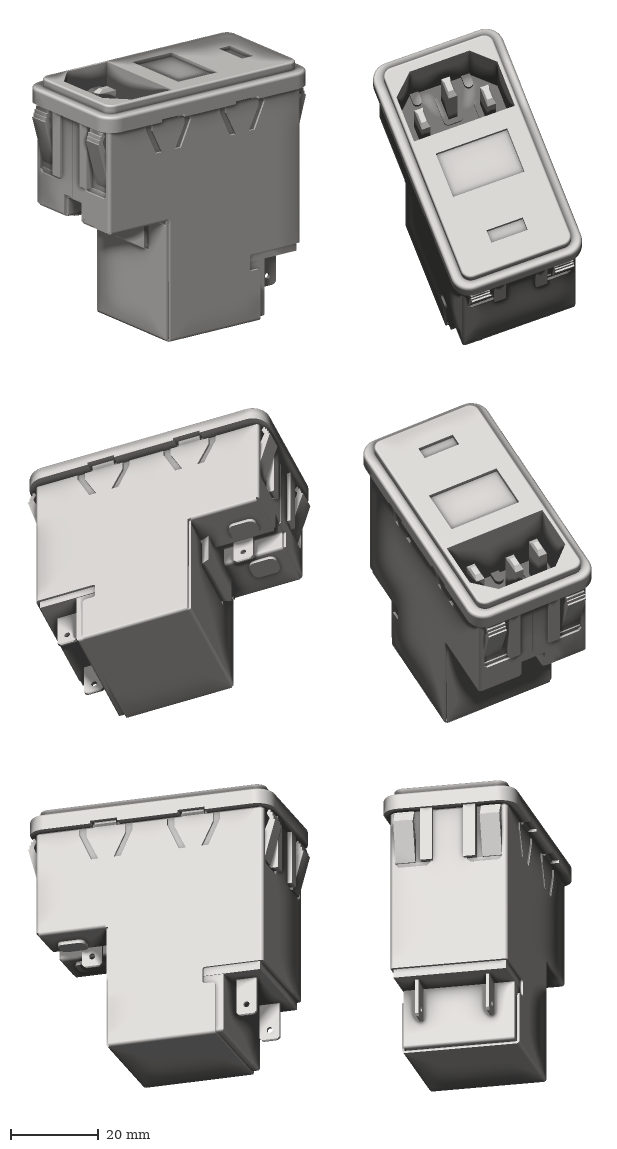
import cadquery as cq


TOP_Z = 60.3
FLANGE_X, FLANGE_Y = 31.45, 58.7
FLANGE_BOTTOM, FLANGE_TOP = 54.5, 58.3
FLANGE_CORNER_R, FLANGE_EDGE_R = 4.2, 0.7
PANEL_X, PANEL_Y = 26.65, 54.3
PANEL_CORNER_R, PANEL_EDGE_R = 2.3, 0.5

SHEET = 0.55
BEND_R = 0.7
SHIELD_HALF_X = 13.8
FRONT_Y, BACK_Y = -27.5, 27.3
SHIELD_TOP = 54.05
STEP_Z = 29.3
STEP_Y = -10.65
BACK_PLATE_BOTTOM = 16.5
SIDE_BACK_Y = 15.8
RELIEF_Y, RELIEF_BOTTOM = 12.7, 12.55
RELIEF_R, RELIEF_FOOT_R = 0.55, 0.9
SEAM = 0.25
CORNER_GAP = 0.65

NOTCH_HALF_X, NOTCH_TOP, NOTCH_TOP_R = 2.6, 34.05, 0.5

OPENING_HALF_X, OPENING_BOTTOM = 12.9, 28.0
BLOCK_WINDOW_HALF_X, BLOCK_WINDOW_BOTTOM = 6.4, 20.4

TONGUE_PITCH = 21.1
SLOT_OUTER, SLOT_INNER = 6.4, 4.65
SLOT_FOOT_OUTER, SLOT_FOOT_INNER = 3.55, 1.85
SLOT_BEND_OUTER, SLOT_BEND_INNER, SLOT_BOTTOM = 52.6, 52.1, 46.45
LIP_HALF_Y, LIP_OUT = 2.6, 0.5
LIP_BOTTOM, LIP_KNEE, LIP_TOP = 54.25, 54.7, 55.15
FLANGE_NOTCH_HALF_Y = 3.25

WINDOW_INNER_X, WINDOW_OUTER_X = 4.35, 12.5
WINDOW_LEDGE, WINDOW_CHAMFER = 1.1, 0.7
RIB_INNER_X, RIB_OUTER_X = 3.7, 6.45
RIB_Y = 28.4
FRONT_RIB_BOTTOM, BACK_RIB_BOTTOM = 38.75, 41.95
POCKET_DEPTH = 0.9
CLIP_INNER_X = 7.9
CLIP_TIP_Y, CLIP_TIP_Z = 29.8, 51.35
CLIP_FOOT_Z = 40.0
GRIP_INNER_Y, GRIP_STEPS_Y = 28.15, (28.55, 29.05, 29.35)
GRIP_TOP, GRIP_STEPS_Z = 53.8, (53.1, 52.25, CLIP_TIP_Z)
CLIP_HEEL_Y, CLIP_HEEL_Z = 27.7, 53.05
CLIP_BACK_Y, CLIP_BACK_Z = 28.4, 51.65
CLIP_ROOT_Z = 46.95
CLIP_SLOPE = 0.28

HOUSING_LIP_Y, HOUSING_LIP_BOTTOM = 26.4, 14.5
FOOT_HALF_X, FOOT_BACK_Y, FOOT_EDGE_R = 13.1, 17.5, 0.6
BLOCK_FRONT_Y, BLOCK_FRONT_HALF_X = -12.55, 7.1
BLOCK_BOTTOM = 21.5
PAD_X, PAD_Y, PAD_R, PAD_BOTTOM = 4.65, 6.55, 1.45, 28.45
PAD_CENTRE_X, PAD_CENTRE_Y = 6.4, -21.0

LABEL_X, LABEL_Y, LABEL_CENTRE_Y, LABEL_DEPTH = 8.85, 3.2, 19.15, 1.0
SWITCH_X, SWITCH_Y, SWITCH_CENTRE_Y, SWITCH_DEPTH = 17.4, 11.2, 1.7, 1.0
INLET_HALF_X, INLET_FOOT_HALF_X = 12.3, 7.3
INLET_BACK_Y, INLET_CORNER_Y, INLET_FRONT_Y = -8.45, -19.8, -24.6
INLET_FLOOR = 44.0
KEY_WIDTH, KEY_LENGTH, KEY_HEIGHT, FRONT_KEY_X = 2.1, 3.15, 0.95, 6.25
SEAT_X, SEAT_Y, SEAT_R, SEAT_HEIGHT = 4.7, 7.5, 1.15, 0.5

PIN_X, PIN_Y = 2.1, 4.95
PIN_TIP_X, PIN_TIP_Y, PIN_TAPER = 1.3, 2.3, 0.8
LINE_PIN_X, LINE_PIN_Y, LINE_PIN_TOP = 8.0, -14.45, 56.4
EARTH_Y, EARTH_PIN_TOP = -18.4, 59.4
TERMINAL_X, TERMINAL_Y, TERMINAL_CHAMFER, TERMINAL_EDGE = 0.8, 4.8, 0.7, 0.25
TERMINAL_HOLE, TERMINAL_HOLE_UP = 1.4, 2.55
EARTH_TERMINAL_BOTTOM = 25.7
OUTPUT_TERMINAL_BOTTOM, OUTPUT_TERMINAL_X, OUTPUT_TERMINAL_Y = 5.65, 8.3, 21.6

CUT_MARGIN = 0.6

CORE_HALF_X = SHIELD_HALF_X - SHEET
CORE_FRONT_Y = FRONT_Y + SHEET
CORE_BACK_Y = BACK_Y - SHEET
CORE_STEP_Y = STEP_Y + SHEET
CORE_STEP_Z = STEP_Z + SHEET
RIM_HALF_X = NOTCH_HALF_X + BEND_R
TONGUES_Y = (-TONGUE_PITCH / 2, TONGUE_PITCH / 2)
SIDES = (-1, 1)
FACES = ((-1, -FRONT_Y, FRONT_RIB_BOTTOM), (1, BACK_Y, BACK_RIB_BOTTOM))


def block(x, y, z):
    """Box between two limits on each axis; each pair may be in either order."""
    spans = [sorted(pair) for pair in (x, y, z)]
    size = [high - low for low, high in spans]
    return cq.Workplane("XY").box(*size, centered=False).translate(tuple(low for low, high in spans))


def side_profile(points, half_width):
    """Outline of (y, z) points extruded symmetrically about X = 0."""
    return cq.Workplane("YZ").polyline(points).close().extrude(half_width, both=True)


def rounded_block(size_x, size_y, radius, bottom, top, centre=(0, 0)):
    body = cq.Workplane("XY", origin=(*centre, bottom)).rect(size_x, size_y).extrude(top - bottom)
    return body.edges("|Z").fillet(radius)


def notch_opening():
    """Space of the front notch: rounded at the top, flared where it meets the underside."""
    depth = (FRONT_Y, STEP_Y)
    opening = block((-NOTCH_HALF_X, NOTCH_HALF_X), depth, (STEP_Z - SHEET, NOTCH_TOP))
    opening = opening.edges("|Y and >Z").fillet(NOTCH_TOP_R)
    opening = opening.union(block((-RIM_HALF_X - SHEET, RIM_HALF_X + SHEET), depth, (STEP_Z - SHEET, STEP_Z)))
    low, high = (-RIM_HALF_X, FRONT_Y, STEP_Z - SHEET / 2), (RIM_HALF_X, STEP_Y, CORE_STEP_Z)
    mouth = cq.selectors.BoxSelector(low, high)
    return opening.edges("|Y").edges(mouth).fillet(BEND_R)


def notch_clearance():
    """Notch grown by the sheet thickness, where the housing makes way for the folded lining."""
    half_x = NOTCH_HALF_X + SHEET
    return block((-half_x, half_x), (FRONT_Y, STEP_Y), (STEP_Z, NOTCH_TOP + SHEET))


def terminal(x, y, bottom, top):
    """Flat blade with a pierced, chamfered lower end."""
    blade = cq.Workplane("XY", origin=(x, y, bottom)).rect(TERMINAL_X, TERMINAL_Y).extrude(top - bottom)
    blade = blade.edges("|X and <Z").chamfer(TERMINAL_CHAMFER)
    blade = blade.faces("<Z").edges().chamfer(TERMINAL_EDGE)
    hole_plane = cq.Workplane("YZ", origin=(x, y, bottom + TERMINAL_HOLE_UP))
    return blade.cut(hole_plane.circle(TERMINAL_HOLE / 2).extrude(TERMINAL_X, both=True))


def earth_terminal():
    return terminal(0, EARTH_Y, EARTH_TERMINAL_BOTTOM, INLET_FLOOR)


def contact_pads():
    """Two low rounded pads that pass through the underside of the shield."""
    pads = cq.Workplane("XY")
    for side in SIDES:
        centre = (side * PAD_CENTRE_X, PAD_CENTRE_Y)
        pads = pads.union(rounded_block(PAD_X, PAD_Y, PAD_R, PAD_BOTTOM, CORE_STEP_Z, centre))
    return pads


def shield_envelope():
    """Outside of the shield before the sheet is hollowed out."""
    x_span = (-SHIELD_HALF_X, SHIELD_HALF_X)
    upper = block(x_span, (FRONT_Y, BACK_Y), (STEP_Z, SHIELD_TOP))
    upper = upper.edges("|Z").fillet(BEND_R).edges("|Y and <Z").fillet(BEND_R)
    upper = upper.cut(notch_opening())
    lower = block(x_span, (STEP_Y, BACK_Y), (0, SHIELD_TOP))
    lower = lower.edges("|Z and >Y").fillet(BEND_R).edges("<Z").fillet(BEND_R)
    return upper.union(lower)


def corner_reliefs():
    """Open corners where the edges of two folded sheets face each other."""
    front = (FRONT_Y, FRONT_Y + CORNER_GAP)
    reliefs = block((-SHIELD_HALF_X, SHIELD_HALF_X), front, (STEP_Z, STEP_Z + BEND_R))
    reliefs = reliefs.union(block((-RIM_HALF_X, RIM_HALF_X), front, (STEP_Z, NOTCH_TOP + BEND_R)))
    for side in SIDES:
        corner_x = (side * (SHIELD_HALF_X - CORNER_GAP), side * SHIELD_HALF_X)
        reliefs = reliefs.union(block(corner_x, (STEP_Y, STEP_Y + CORNER_GAP), (0, STEP_Z)))
    return reliefs


def shield_cavity():
    top, rear = SHIELD_TOP + CUT_MARGIN, CORE_BACK_Y
    outline = [(CORE_FRONT_Y, top), (CORE_FRONT_Y, CORE_STEP_Z), (CORE_STEP_Y, CORE_STEP_Z),
               (CORE_STEP_Y, SHEET), (rear, SHEET), (rear, top)]
    return side_profile(outline, CORE_HALF_X).cut(notch_clearance())


def rear_relief():
    """Removes the sheet below the back plate and behind the lower side plates."""
    outside = BACK_Y + CUT_MARGIN
    outline = [(SIDE_BACK_Y, -CUT_MARGIN), (SIDE_BACK_Y, RELIEF_BOTTOM), (RELIEF_Y, RELIEF_BOTTOM),
               (RELIEF_Y, BACK_PLATE_BOTTOM), (outside, BACK_PLATE_BOTTOM), (outside, -CUT_MARGIN)]
    relief = side_profile(outline, SHIELD_HALF_X + CUT_MARGIN)
    relief = relief.edges("|X").edges("<Y").fillet(RELIEF_R)
    foot = cq.selectors.NearestToPointSelector((0, SIDE_BACK_Y, RELIEF_BOTTOM))
    return relief.edges("|X").edges(foot).fillet(RELIEF_FOOT_R)


def side_slots():
    """Two slanted slots per tongue, through both side plates."""
    slots = cq.Workplane("XY")
    outline = [(SLOT_OUTER, SHIELD_TOP), (SLOT_OUTER, SLOT_BEND_OUTER), (SLOT_FOOT_OUTER, SLOT_BOTTOM),
               (SLOT_FOOT_INNER, SLOT_BOTTOM), (SLOT_INNER, SLOT_BEND_INNER), (SLOT_INNER, SHIELD_TOP)]
    for tongue_y in TONGUES_Y:
        for side in SIDES:
            points = [(tongue_y + side * y, z) for y, z in outline]
            slots = slots.union(side_profile(points, SHIELD_HALF_X + CUT_MARGIN))
    return slots


def tongue_lips():
    """Outward lips on top of the spring tongues."""
    lips = cq.Workplane("XY")
    inner, face, outer = CORE_HALF_X, SHIELD_HALF_X, SHIELD_HALF_X + LIP_OUT
    outline = [(inner, SLOT_BEND_INNER), (face, SLOT_BEND_INNER), (face, LIP_BOTTOM), (outer, LIP_KNEE),
               (outer, LIP_TOP), (inner, LIP_TOP)]
    for tongue_y in TONGUES_Y:
        for side in SIDES:
            points = [(side * x, z) for x, z in outline]
            plane = cq.Workplane("XZ", origin=(0, tongue_y, 0))
            lips = lips.union(plane.polyline(points).close().extrude(LIP_HALF_Y, both=True))
    return lips


def clip_windows():
    """Windows, open at the top, around each clip and rib root."""
    windows = cq.Workplane("XY")
    for face, face_y, rib_bottom in FACES:
        for side in SIDES:
            window = block((side * WINDOW_INNER_X, side * WINDOW_OUTER_X),
                           (face * (face_y - SHEET), face * (face_y + CUT_MARGIN)),
                           (rib_bottom - WINDOW_LEDGE, SHIELD_TOP + CUT_MARGIN))
            windows = windows.union(window.edges("|Y and <Z").chamfer(WINDOW_CHAMFER))
    return windows


def lower_front_openings():
    """Gap under the step and window behind the block."""
    depth = (STEP_Y - CUT_MARGIN, CORE_STEP_Y)
    openings = block((-OPENING_HALF_X, OPENING_HALF_X), depth, (OPENING_BOTTOM, STEP_Z))
    window_x = (-BLOCK_WINDOW_HALF_X, BLOCK_WINDOW_HALF_X)
    return openings.union(block(window_x, depth, (BLOCK_WINDOW_BOTTOM, STEP_Z)))


def make_shield():
    shield = shield_envelope().cut(shield_cavity()).cut(rear_relief()).cut(corner_reliefs())
    shield = shield.cut(side_slots()).union(tongue_lips())
    shield = shield.cut(clip_windows()).cut(lower_front_openings())
    seam = block((-SEAM / 2, SEAM / 2), (FRONT_Y, CORE_FRONT_Y), (NOTCH_TOP, SHIELD_TOP))
    return shield.cut(seam).cut(contact_pads()).cut(earth_terminal())


def faceplate():
    flange = rounded_block(FLANGE_X, FLANGE_Y, FLANGE_CORNER_R, FLANGE_BOTTOM, FLANGE_TOP)
    flange = flange.faces(">Z").edges().fillet(FLANGE_EDGE_R)
    for tongue_y in TONGUES_Y:
        for side in SIDES:
            notch_y = (tongue_y - FLANGE_NOTCH_HALF_Y, tongue_y + FLANGE_NOTCH_HALF_Y)
            notch_x = (side * CORE_HALF_X, side * FLANGE_X)
            flange = flange.cut(block(notch_x, notch_y, (FLANGE_BOTTOM, LIP_TOP)))
    panel = rounded_block(PANEL_X, PANEL_Y, PANEL_CORNER_R, FLANGE_TOP, TOP_Z)
    return flange.union(panel.faces(">Z").edges().fillet(PANEL_EDGE_R))


def housing_core():
    """Body that fills the upper shield, with a lip exposed below the back plate."""
    outline = [(CORE_FRONT_Y, FLANGE_BOTTOM), (CORE_FRONT_Y, CORE_STEP_Z), (CORE_STEP_Y, CORE_STEP_Z),
               (CORE_STEP_Y, HOUSING_LIP_BOTTOM), (HOUSING_LIP_Y, HOUSING_LIP_BOTTOM),
               (HOUSING_LIP_Y, BACK_PLATE_BOTTOM), (CORE_BACK_Y, BACK_PLATE_BOTTOM),
               (CORE_BACK_Y, FLANGE_BOTTOM)]
    return side_profile(outline, CORE_HALF_X).cut(notch_clearance())


def housing_foot():
    """Slightly narrower lower part that shows behind the side plates."""
    foot = block((-FOOT_HALF_X, FOOT_HALF_X), (CORE_STEP_Y, FOOT_BACK_Y), (SHEET, HOUSING_LIP_BOTTOM))
    return foot.edges("<Z").edges("|Y or >Y").fillet(FOOT_EDGE_R)


def front_block():
    """Undercut block that stands out through the lower front window and closes the notch."""
    outline = [(-BLOCK_WINDOW_HALF_X, CORE_STEP_Y), (BLOCK_WINDOW_HALF_X, CORE_STEP_Y),
               (BLOCK_WINDOW_HALF_X, STEP_Y), (BLOCK_FRONT_HALF_X, BLOCK_FRONT_Y),
               (-BLOCK_FRONT_HALF_X, BLOCK_FRONT_Y), (-BLOCK_WINDOW_HALF_X, STEP_Y)]
    plane = cq.Workplane("XY", origin=(0, 0, BLOCK_BOTTOM))
    body = plane.polyline(outline).close().extrude(STEP_Z - BLOCK_BOTTOM)
    rim_x = (-RIM_HALF_X, RIM_HALF_X)
    notch_end = notch_opening().intersect(block(rim_x, (BLOCK_FRONT_Y, STEP_Y), (STEP_Z, NOTCH_TOP)))
    return body.union(notch_end)


def clip_pocket(face, face_y, rib_bottom, side):
    return block((side * RIB_OUTER_X, side * WINDOW_OUTER_X),
                 (face * (face_y - POCKET_DEPTH), face * (face_y + CUT_MARGIN)),
                 (rib_bottom, FLANGE_BOTTOM))


def clip_rib(face, face_y, rib_bottom, side):
    """Rib rooted in the pocket edge, with a flange lying on the shield face."""
    height = (rib_bottom, FLANGE_BOTTOM)
    root_y = (face * (face_y - POCKET_DEPTH), face * RIB_Y)
    root = block((side * WINDOW_INNER_X, side * RIB_OUTER_X), root_y, height)
    return root.union(block((side * RIB_INNER_X, side * RIB_OUTER_X), (face * face_y, face * RIB_Y), height))


def snap_clip(face, face_y, rib_bottom, side):
    """Springy wedge with a stepped grip above its tip."""
    floor_y = face_y - POCKET_DEPTH
    foot_z = max(CLIP_FOOT_Z, rib_bottom)
    foot_y = CLIP_TIP_Y - CLIP_SLOPE * (CLIP_TIP_Z - foot_z)
    outline = [(GRIP_INNER_Y, GRIP_TOP)]
    step_top = GRIP_TOP
    for step_y, step_foot in zip(GRIP_STEPS_Y, GRIP_STEPS_Z):
        outline += [(step_y, step_top), (step_y, step_foot)]
        step_top = step_foot
    outline += [(CLIP_TIP_Y, CLIP_TIP_Z), (foot_y, foot_z), (floor_y, foot_z), (floor_y, CLIP_ROOT_Z),
                (CLIP_BACK_Y, CLIP_BACK_Z), (CLIP_HEEL_Y, CLIP_HEEL_Z)]
    points = [(face * y, z) for y, z in outline]
    plane = cq.Workplane("YZ", origin=(side * CLIP_INNER_X, 0, 0))
    return plane.polyline(points).close().extrude(side * (WINDOW_OUTER_X - CLIP_INNER_X))


def inlet_recess():
    """Inlet well with two cut corners, less the keys and pin seats on its floor."""
    outline = [(-INLET_HALF_X, INLET_BACK_Y), (INLET_HALF_X, INLET_BACK_Y), (INLET_HALF_X, INLET_CORNER_Y),
               (INLET_FOOT_HALF_X, INLET_FRONT_Y), (-INLET_FOOT_HALF_X, INLET_FRONT_Y),
               (-INLET_HALF_X, INLET_CORNER_Y)]
    floor = cq.Workplane("XY", origin=(0, 0, INLET_FLOOR))
    well = floor.polyline(outline).close().extrude(TOP_Z - INLET_FLOOR)
    keys = [(0, INLET_BACK_Y)] + [(side * FRONT_KEY_X, INLET_FRONT_Y) for side in SIDES]
    key_span = 2 * KEY_LENGTH
    well = well.cut(floor.pushPoints(keys).slot2D(key_span, KEY_WIDTH, 90).extrude(KEY_HEIGHT))
    for x, y, _ in pin_places():
        well = well.cut(rounded_block(SEAT_X, SEAT_Y, SEAT_R, INLET_FLOOR, INLET_FLOOR + SEAT_HEIGHT, (x, y)))
    return well


def pin_places():
    """Centre and top height of each contact pin."""
    return [(-LINE_PIN_X, LINE_PIN_Y, LINE_PIN_TOP), (0, EARTH_Y, EARTH_PIN_TOP),
            (LINE_PIN_X, LINE_PIN_Y, LINE_PIN_TOP)]


def contact_pin(x, y, top):
    shoulder = top - PIN_TAPER
    pin = cq.Workplane("XY", origin=(x, y, INLET_FLOOR)).rect(PIN_X, PIN_Y).extrude(shoulder - INLET_FLOOR)
    tip = cq.Workplane("XY", origin=(x, y, shoulder)).rect(PIN_X, PIN_Y)
    tip = tip.workplane(offset=PIN_TAPER).rect(PIN_TIP_X, PIN_TIP_Y).loft(ruled=True)
    return pin.union(tip)


def panel_recess(size_x, size_y, centre_y, depth):
    y_span = (centre_y - size_y / 2, centre_y + size_y / 2)
    return block((-size_x / 2, size_x / 2), y_span, (TOP_Z - depth, TOP_Z))


def make_housing():
    housing = faceplate().union(housing_core()).union(housing_foot())
    housing = housing.union(front_block()).union(contact_pads())
    for face, face_y, rib_bottom in FACES:
        for side in SIDES:
            housing = housing.cut(clip_pocket(face, face_y, rib_bottom, side))
            housing = housing.union(clip_rib(face, face_y, rib_bottom, side))
            housing = housing.union(snap_clip(face, face_y, rib_bottom, side))
    housing = housing.cut(panel_recess(LABEL_X, LABEL_Y, LABEL_CENTRE_Y, LABEL_DEPTH))
    housing = housing.cut(panel_recess(SWITCH_X, SWITCH_Y, SWITCH_CENTRE_Y, SWITCH_DEPTH))
    housing = housing.cut(inlet_recess())
    for x, y, top in pin_places():
        housing = housing.union(contact_pin(x, y, top))
    for side in SIDES:
        output_x = side * OUTPUT_TERMINAL_X
        output = terminal(output_x, OUTPUT_TERMINAL_Y, OUTPUT_TERMINAL_BOTTOM, BACK_PLATE_BOTTOM)
        housing = housing.union(output)
    return housing.union(earth_terminal())


housing = make_housing()
shield = make_shield()
result = cq.Compound.makeCompound([housing.solids().val(), shield.solids().val()])